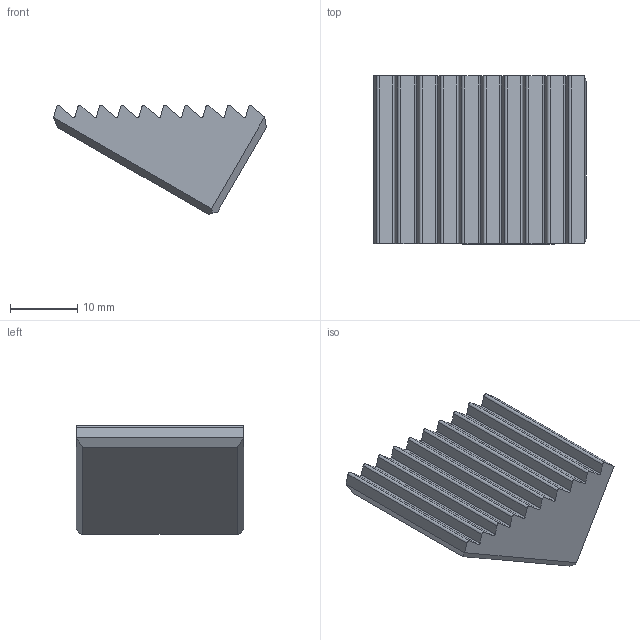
import cadquery as cq
import math


width = 25.0
slope_angle = 30.0
edge_chamfer = 1.0

tooth_count = 10
tooth_pitch = 3.175
steep_angle = 75.0
shallow_angle = 40.0
crest_radius = 0.3
root_radius = 0.2
first_flank_length = 3.11
last_flank_length = 4.02

steep = math.radians(steep_angle)
shallow = math.radians(shallow_angle)
slope = math.radians(slope_angle)
tooth_height = tooth_pitch / (1 / math.tan(steep) + 1 / math.tan(shallow))
root_offset = tooth_height / math.tan(shallow)

tip_half_angle = (math.pi - steep - shallow) / 2
tip_lean = (steep - shallow) / 2
tip_z = crest_radius * (math.cos(tip_lean) / math.sin(tip_half_angle) - 1)
root_z = tip_z - tooth_height

left_x = -first_flank_length * math.cos(steep)
left_z = tip_z - first_flank_length * math.sin(steep)
right_x = (tooth_count - 1) * tooth_pitch + last_flank_length * math.cos(shallow)
right_z = tip_z - last_flank_length * math.sin(shallow)
underside_length = (right_x - left_x) * math.cos(slope) - (right_z - left_z) * math.sin(slope)
bottom_x = left_x + underside_length * math.cos(slope)
bottom_z = left_z - underside_length * math.sin(slope)


def tooth_points():
    """Sharp tips and roots from the first tooth to the last."""
    points = []
    for index in range(tooth_count):
        x = index * tooth_pitch
        points.append((x, tip_z))
        if index < tooth_count - 1:
            points.append((x + root_offset, root_z))
    return points


def make_body():
    """Sharp-edged prism, centred on Y = 0."""
    outline = [(left_x, left_z)] + tooth_points() + [(right_x, right_z), (bottom_x, bottom_z)]
    return cq.Workplane("XZ").polyline(outline).close().extrude(width / 2, both=True)


def chamfer_flat_faces(body):
    """Chamfer every edge of the underside and of the end face, the edge they share last."""
    underside_middle = ((left_x + bottom_x) / 2, 0, (left_z + bottom_z) / 2)
    end_middle = ((right_x + bottom_x) / 2, 0, (right_z + bottom_z) / 2)
    shared_edge = cq.NearestToPointSelector((bottom_x, 0, bottom_z))
    underside = body.faces(cq.NearestToPointSelector(underside_middle))
    end_face = body.faces(cq.NearestToPointSelector(end_middle))
    outer_edges = underside.add(end_face).edges("not <Z")
    body = outer_edges.chamfer(edge_chamfer)
    return body.edges(shared_edge).chamfer(edge_chamfer)


def round_teeth(body):
    """Round the tooth tips and the roots between them."""
    body = body.edges("|Y and >Z").fillet(crest_radius)
    margin = 0.01
    first_root_x = root_offset
    last_root_x = (tooth_count - 2) * tooth_pitch + root_offset
    roots = cq.selectors.BoxSelector(
        (first_root_x - margin, -margin, root_z - margin),
        (last_root_x + margin, margin, root_z + margin),
    )
    return body.edges("|Y").edges(roots).fillet(root_radius)


result = round_teeth(chamfer_flat_faces(make_body()))